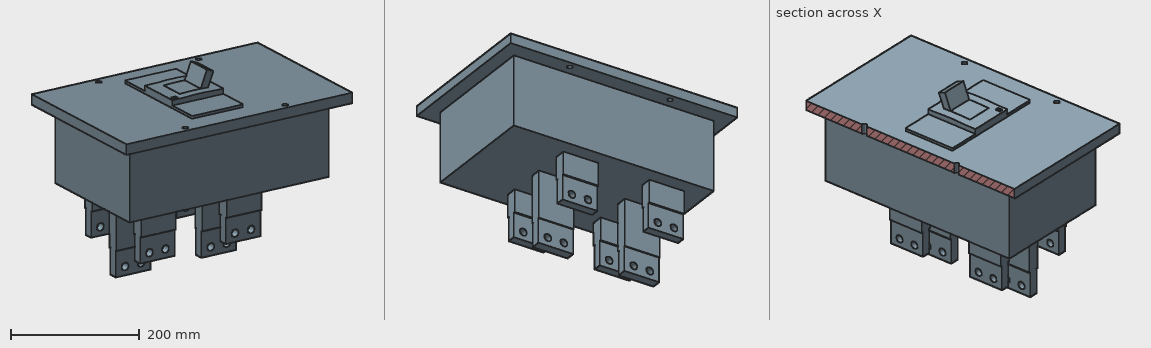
import cadquery as cq
import math

BODY_BOTTOM = 129.0
COVER_BOTTOM = 255.0
COVER_TOP = 272.5
LABEL_TOP = 277.0
BLOCK_TOP = 286.0
OVERALL_HEIGHT = 316.3

COVER_X = 268.0
COVER_Y = 420.0
FIXING_SPACING_X = 244.5
FIXING_SPACING_Y = 185.5
FIXING_DIAMETER = 9.0

BODY_X = 210.0
BODY_Y = 370.5

SWITCH_BACK = 32.8
SWITCH_FRONT = -62.0
SWITCH_LENGTH = SWITCH_BACK - SWITCH_FRONT
SWITCH_CENTRE_Y = (SWITCH_BACK + SWITCH_FRONT) / 2
LABEL_X = 190.0
LABEL_CORNER_RADIUS = 1.3
BLOCK_X = 78.0

DOME_BACK = 21.0
DOME_FRONT = -42.0
DOME_CREST_Y = (DOME_BACK + DOME_FRONT) / 2
DOME_RISE = 1.05

HANDLE_X = 45.5
HANDLE_THICKNESS = 13.0
HANDLE_TILT = 21.5
HANDLE_FRONT_Y = 1.0
SLIDE_FRONT = -38.0
SLIDE_BACK = 12.5
SLIDE_RISE = 0.2

WINDOW_X = 6.0
WINDOW_Y = 7.5
WINDOW_DEPTH = 1.0
WINDOW_CENTRE = (30.2, -52.5)

TERMINAL_LENGTH_Y = 64.5
TERMINAL_ROWS_Y = (44.5, -114.5)
OUTER_TERMINAL_X = 69.5
TONGUE_HEIGHT = 44.0
OUTER_TIP_Z = TONGUE_HEIGHT
TERMINAL_HOLE_DIAMETER = 12.5
TERMINAL_HOLE_SPACING = 30.0
TERMINAL_HOLE_RISE = 14.5
OUTER_ROOT_WIDTH = 20.5
OUTER_TONGUE_WIDTH = 15.0
CENTRE_ROOT_WIDTH = 19.7
CENTRE_TONGUE_WIDTH = 16.5


def slab(width, length, bottom, top, x=0, y=0):
    """Upright rectangular block centred on (x, y)."""
    plan = cq.Workplane("XY", origin=(x, y, bottom)).rect(width, length)
    return plan.extrude(top - bottom)


def side_profile():
    """YZ sketch plane; positive extrusion runs along +X."""
    return cq.Workplane("YZ")


def cover():
    plate = slab(COVER_X, COVER_Y, COVER_BOTTOM, COVER_TOP)
    fixings = (
        cq.Workplane("XY", origin=(0, 0, COVER_BOTTOM))
        .rect(FIXING_SPACING_X, FIXING_SPACING_Y, forConstruction=True)
        .vertices()
        .circle(FIXING_DIAMETER / 2)
        .extrude(COVER_TOP - COVER_BOTTOM)
    )
    return plate.cut(fixings)


def label_plate():
    plate = slab(LABEL_X, SWITCH_LENGTH, COVER_TOP, LABEL_TOP, y=SWITCH_CENTRE_Y)
    return plate.edges("|Z").fillet(LABEL_CORNER_RADIUS)


def dome_height(y):
    """Height of the domed strip's circular arc at a given y."""
    half_span = (DOME_BACK - DOME_FRONT) / 2
    radius = (half_span ** 2 + DOME_RISE ** 2) / (2 * DOME_RISE)
    drop = radius - math.sqrt(radius ** 2 - (y - DOME_CREST_Y) ** 2)
    return BLOCK_TOP + DOME_RISE - drop


def domed_strip(width, front, back, lift):
    """Strip rooted in the block, its top following the dome arc plus a lift."""
    def arc_point(y):
        return (y, dome_height(y) + lift)

    return (
        side_profile()
        .moveTo(front, LABEL_TOP)
        .lineTo(*arc_point(front))
        .threePointArc(arc_point((front + back) / 2), arc_point(back))
        .lineTo(back, LABEL_TOP)
        .close()
        .extrude(width / 2, both=True)
    )


def handle():
    """Lever leaning towards +Y, its foot sunk into the block."""
    tilt = math.radians(HANDLE_TILT)
    lean = math.tan(tilt)
    front_top_y = HANDLE_FRONT_Y + (OVERALL_HEIGHT - BLOCK_TOP) * lean
    back_top_y = front_top_y + HANDLE_THICKNESS * math.cos(tilt)
    back_top_z = OVERALL_HEIGHT - HANDLE_THICKNESS * math.sin(tilt)
    foot_front_y = HANDLE_FRONT_Y - (BLOCK_TOP - LABEL_TOP) * lean
    foot_back_y = foot_front_y + HANDLE_THICKNESS / math.cos(tilt)
    outline = [
        (foot_front_y, LABEL_TOP),
        (front_top_y, OVERALL_HEIGHT),
        (back_top_y, back_top_z),
        (foot_back_y, LABEL_TOP),
    ]
    return side_profile().polyline(outline).close().extrude(HANDLE_X / 2, both=True)


def switch_block():
    block = slab(BLOCK_X, SWITCH_LENGTH, LABEL_TOP, BLOCK_TOP, y=SWITCH_CENTRE_Y)
    window_x, window_y = WINDOW_CENTRE
    window = slab(WINDOW_X, WINDOW_Y, BLOCK_TOP - WINDOW_DEPTH, BLOCK_TOP, window_x, window_y)
    dome = domed_strip(BLOCK_X, DOME_FRONT, DOME_BACK, 0)
    slide = domed_strip(HANDLE_X, SLIDE_FRONT, SLIDE_BACK, SLIDE_RISE)
    return block.cut(window).union(dome).union(slide).union(handle())


def terminal(x, y, tip, root_width, tongue_width):
    """Bar hanging from the body with a thinner, twice-drilled tongue."""
    shoulder = tip + TONGUE_HEIGHT
    root = slab(root_width, TERMINAL_LENGTH_Y, shoulder, BODY_BOTTOM, x, y)
    tongue = slab(tongue_width, TERMINAL_LENGTH_Y, tip, shoulder, x, y)
    holes = (
        cq.Workplane("YZ", origin=(x, y, tip + TERMINAL_HOLE_RISE))
        .rarray(TERMINAL_HOLE_SPACING, 4, 2, 1)
        .circle(TERMINAL_HOLE_DIAMETER / 2)
        .extrude(tongue_width / 2, both=True)
    )
    return root.union(tongue.cut(holes))


result = slab(BODY_X, BODY_Y, BODY_BOTTOM, COVER_BOTTOM)
result = result.union(cover()).union(label_plate()).union(switch_block())

for row_y in TERMINAL_ROWS_Y:
    result = result.union(terminal(0, row_y, 0, CENTRE_ROOT_WIDTH, CENTRE_TONGUE_WIDTH))
    for bar_x in (-OUTER_TERMINAL_X, OUTER_TERMINAL_X):
        outer = terminal(bar_x, row_y, OUTER_TIP_Z, OUTER_ROOT_WIDTH, OUTER_TONGUE_WIDTH)
        result = result.union(outer)